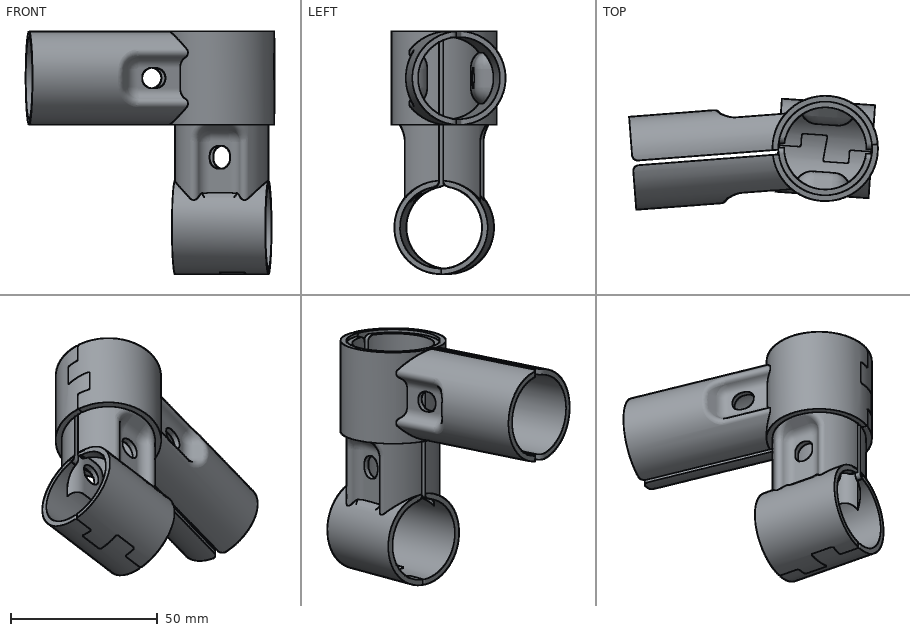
import cadquery as cq
import math

OVERALL_LENGTH = 85.0
STEM_RADIUS = 16.0
STEM_BORE_RADIUS = 14.0
WALL = STEM_RADIUS - STEM_BORE_RADIUS
RING_WIDTH = 2 * STEM_RADIUS

OUTER_RING_RADIUS = 18.0
OUTER_RING_BORE_RADIUS = STEM_RADIUS
OUTER_CLAMP_TURN = 4.4

INNER_RING_RADIUS = STEM_RADIUS
INNER_RING_BORE_RADIUS = STEM_BORE_RADIUS
INNER_CLAMP_TURN = -4.0
STEM_RECESS = 1.0

TURN = math.radians(OUTER_CLAMP_TURN)
STEM_LENGTH = (OVERALL_LENGTH - OUTER_RING_RADIUS - STEM_RADIUS * math.sin(TURN)) / math.cos(TURN)

SLOT_WIDTH = 1.5
SLOT_MOUTH_RADIUS = 2.0
INNER_SLOT_ROOT_RADIUS = 1.5

SEAM_TAB_LENGTH = 8.3
SEAM_TAB_HEIGHT = 4.5
SEAM_MIDDLE_LEAN = 0.5
SEAM_CORNER_RADIUS = 0.7

POCKET_FLOOR = 10.0
POCKET_FLAT_HALF_WIDTH = 3.6
POCKET_FLAT_END = 29.7
POCKET_FLAT_CORNER = 0.4
POCKET_WALL_SLOPE = 57.0
POCKET_FOOT_RADIUS = 4.0
POCKET_RIM_RADIUS = WALL
BOLT_HOLE_POSITION = 24.0
BOLT_HOLE_WIDTH = 7.0
BOLT_HOLE_LENGTH = 8.0

LEDGE_TOP = 11.8
LEDGE_SLOPE = 35.0
LEDGE_HALF_WIDTH = 6.7
LEDGE_CORNER_RADIUS = 2.0

MARGIN = 4.25
TOLERANCE = 0.01

ORIGIN = (0, 0, 0)
Y_AXIS = (0, 1, 0)
Z_AXIS = (0, 0, 1)
SIDES = range(2)


def pocket_tool(offset):
    """Pocket-shaped block on the -Y side, open at the ring end and grown by an offset on its walls."""
    floor = POCKET_FLOOR - offset
    foot_radius = POCKET_FOOT_RADIUS + offset
    spread = foot_radius * math.tan(math.radians(POCKET_WALL_SLOPE / 2))
    half_width = POCKET_FLAT_HALF_WIDTH + spread
    end = POCKET_FLAT_END + spread
    corner = POCKET_FLAT_CORNER + spread
    outline = cq.Sketch().rect(2 * half_width, 2 * end).vertices().fillet(corner)
    return (
        cq.Workplane("XZ", origin=(0, -floor, 0))
        .placeSketch(outline)
        .extrude(STEM_RADIUS + MARGIN - floor, taper=POCKET_WALL_SLOPE - 90)
        .faces(">Y")
        .edges()
        .fillet(foot_radius)
    )


def stem_outside():
    """Solid stem with the bolt pocket pressed into it and the pocket rim rounded."""
    stem = cq.Workplane("XY").circle(STEM_RADIUS).extrude(STEM_LENGTH).cut(pocket_tool(0))

    def on_rim(edge):
        middle = edge.positionAt(0.5)
        on_surface = abs(math.hypot(middle.x, middle.y) - STEM_RADIUS) < TOLERANCE
        between_ends = TOLERANCE < middle.z < STEM_LENGTH - TOLERANCE
        return on_surface and between_ends and middle.y < -TOLERANCE

    rim = [edge for edge in stem.edges().vals() if on_rim(edge)]
    return stem.newObject(rim).fillet(POCKET_RIM_RADIUS)


def stem_inside():
    """Space inside the stem, dented by the back of the bolt pocket."""
    bore = cq.Workplane("XY").circle(STEM_BORE_RADIUS).extrude(STEM_LENGTH)
    return bore.cut(pocket_tool(WALL))


def ring_cylinder(radius):
    return cq.Workplane("YZ").circle(radius).extrude(RING_WIDTH / 2, both=True)


def bolt_hole():
    return (
        cq.Workplane("XZ", origin=(0, 0, BOLT_HOLE_POSITION))
        .slot2D(BOLT_HOLE_LENGTH, BOLT_HOLE_WIDTH, 90)
        .extrude(STEM_RADIUS)
    )


def is_sloping(edge):
    direction = edge.tangentAt(0.5)
    return abs(direction.y) > TOLERANCE and abs(direction.z) > TOLERANCE


def ledge_cut():
    """Part of the pocket that reaches the ring, bounded below by a sloping ledge."""
    reach = STEM_RADIUS - POCKET_FLOOR
    drop = reach * math.tan(math.radians(LEDGE_SLOPE))
    top = STEM_RADIUS
    above_ledge = (
        cq.Workplane("YZ")
        .polyline(
            [
                (-POCKET_FLOOR, top),
                (-POCKET_FLOOR, LEDGE_TOP),
                (-POCKET_FLOOR - reach, LEDGE_TOP - drop),
                (-POCKET_FLOOR - reach, top),
            ]
        )
        .close()
        .extrude(LEDGE_HALF_WIDTH, both=True)
    )
    sloping_edges = [edge for edge in above_ledge.edges().vals() if is_sloping(edge)]
    above_ledge = above_ledge.newObject(sloping_edges).fillet(LEDGE_CORNER_RADIUS)
    return above_ledge.intersect(pocket_tool(0))


def slot_side():
    """Space above the ring axis kept by the -Y half: its slot face is rounded at the mouth."""
    face = -SLOT_WIDTH / 2
    back = -OUTER_RING_RADIUS - MARGIN
    mouth = SLOT_MOUTH_RADIUS
    return (
        cq.Workplane("YZ")
        .moveTo(back, 0)
        .lineTo(face, 0)
        .lineTo(face, STEM_LENGTH - mouth)
        .radiusArc((face - mouth, STEM_LENGTH), -mouth)
        .lineTo(back, STEM_LENGTH)
        .close()
        .extrude(OUTER_RING_RADIUS, both=True)
    )


def slot_root_flare():
    """Waste at the root of the inner clamp's slot face, leaving it rounded where it meets the ring bore."""
    face = -SLOT_WIDTH / 2
    root = INNER_SLOT_ROOT_RADIUS
    return (
        cq.Workplane("YZ")
        .moveTo(face - root, INNER_RING_BORE_RADIUS)
        .radiusArc((face, INNER_RING_BORE_RADIUS + root), -root)
        .lineTo(0, INNER_RING_BORE_RADIUS + root)
        .lineTo(0, 0)
        .lineTo(face - root, 0)
        .close()
        .extrude(RING_WIDTH / 2, both=True)
    )


def seam_side():
    """Space below the ring axis kept by the -Y half: a tab and a notch that fit the other half."""
    end = RING_WIDTH / 2
    back = -OUTER_RING_RADIUS - MARGIN
    block = (
        cq.Workplane("XY")
        .polyline(
            [
                (-end, back),
                (-end, 0),
                (-SEAM_TAB_LENGTH, 0),
                (-SEAM_TAB_LENGTH, SEAM_TAB_HEIGHT),
                (SEAM_MIDDLE_LEAN, SEAM_TAB_HEIGHT),
                (-SEAM_MIDDLE_LEAN, -SEAM_TAB_HEIGHT),
                (SEAM_TAB_LENGTH, -SEAM_TAB_HEIGHT),
                (SEAM_TAB_LENGTH, 0),
                (end, 0),
                (end, back),
            ]
        )
        .close()
        .extrude(-OUTER_RING_RADIUS)
    )
    seam_corners = cq.selectors.BoxSelector(
        (-end - MARGIN, -SEAM_TAB_HEIGHT - MARGIN, -OUTER_RING_RADIUS),
        (end + MARGIN, SEAM_TAB_HEIGHT + MARGIN, 0),
    )
    return block.edges("|Z").edges(seam_corners).fillet(SEAM_CORNER_RADIUS)


def clamp_half(ring, ring_bore_radius):
    """Makes the -Y half of a clamp with its stem along +Z and its ring around the X axis."""
    return (
        stem_outside()
        .union(ring)
        .cut(stem_inside())
        .cut(ring_cylinder(ring_bore_radius))
        .cut(bolt_hole())
        .intersect(slot_side().union(seam_side()))
    )


def outer_clamp_half(side):
    """Half of the outer clamp: stem towards -X, ring around Z."""
    half = clamp_half(ring_cylinder(OUTER_RING_RADIUS), OUTER_RING_BORE_RADIUS)
    return (
        half.rotate(ORIGIN, Z_AXIS, 180 * side)
        .rotate(ORIGIN, Y_AXIS, -90)
        .rotate(ORIGIN, Z_AXIS, OUTER_CLAMP_TURN)
    )


def inner_clamp_half(side):
    """Half of the inner clamp: stem up inside the outer ring, just short of its top."""
    ring = ring_cylinder(INNER_RING_RADIUS).cut(ledge_cut())
    half = clamp_half(ring, INNER_RING_BORE_RADIUS).cut(slot_root_flare())
    stem_top = RING_WIDTH / 2 - STEM_RECESS
    return half.rotate(ORIGIN, Z_AXIS, 180 * side + INNER_CLAMP_TURN).translate((0, 0, stem_top - STEM_LENGTH))


outer_halves = [outer_clamp_half(side) for side in SIDES]
inner_halves = [inner_clamp_half(side) for side in SIDES]

result = cq.Compound.makeCompound([half.solids().val() for half in outer_halves + inner_halves])